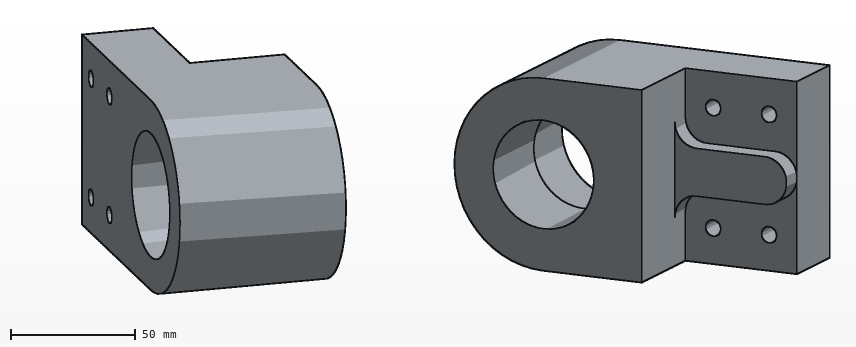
import cadquery as cq

length = 134.0
depth = 70.0
height = 80.0
end_radius = height / 2
bore_x = length - end_radius

plate_length = 50.0
plate_depth = 30.0

bore_diameter = 45.0
seat_diameter = 52.0
seat_depth = 33.0

hole_diameter = 6.7
hole_end_distance = 12.5
hole_pitch_x = 25.0
hole_pitch_z = 50.0

tongue_height = 9.5
tongue_half_width = 9.9
tongue_radius = 9.8


def along_y(start_y):
    """Sketch plane at start_y with local axes X and Z; negative extrusion runs toward +Y."""
    return cq.Workplane("XZ", origin=(0, start_y, 0))


def make_body():
    """Round-ended block with a step cut behind the mounting plate."""
    block = (
        along_y(0)
        .moveTo(0, -end_radius)
        .lineTo(bore_x, -end_radius)
        .threePointArc((length, 0), (bore_x, end_radius))
        .lineTo(0, end_radius)
        .close()
        .extrude(-depth)
    )
    step = (
        along_y(plate_depth)
        .center(plate_length / 2, 0)
        .rect(plate_length, height)
        .extrude(-(depth - plate_depth))
    )
    return block.cut(step)


def make_tongue():
    """Tongue with a rounded nose, flaring into the step wall with concave fillets."""
    nose_flat = tongue_half_width - tongue_radius
    flare_start = plate_length - tongue_radius
    flare_edge = tongue_half_width + tongue_radius
    return (
        along_y(plate_depth)
        .moveTo(tongue_radius, -tongue_half_width)
        .lineTo(flare_start, -tongue_half_width)
        .radiusArc((plate_length, -flare_edge), tongue_radius)
        .lineTo(plate_length, flare_edge)
        .radiusArc((flare_start, tongue_half_width), tongue_radius)
        .lineTo(tongue_radius, tongue_half_width)
        .radiusArc((0, nose_flat), -tongue_radius)
        .lineTo(0, -nose_flat)
        .radiusArc((tongue_radius, -tongue_half_width), -tongue_radius)
        .close()
        .extrude(-tongue_height)
    )


def make_bore():
    """Through bore with the wider bearing seat."""
    bore = along_y(0).center(bore_x, 0).circle(bore_diameter / 2).extrude(-depth)
    seat = along_y(0).center(bore_x, 0).circle(seat_diameter / 2).extrude(-seat_depth)
    return bore.union(seat)


def make_mounting_holes():
    """Two by two pattern of holes through the plate."""
    return (
        along_y(0)
        .center(hole_end_distance + hole_pitch_x / 2, 0)
        .rarray(hole_pitch_x, hole_pitch_z, 2, 2)
        .circle(hole_diameter / 2)
        .extrude(-plate_depth)
    )


result = make_body().union(make_tongue()).cut(make_bore()).cut(make_mounting_holes())